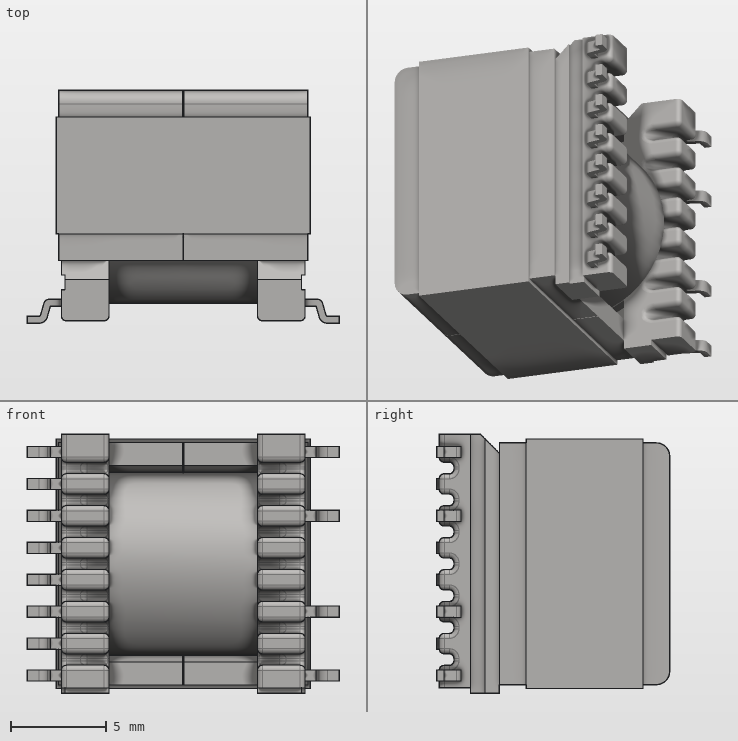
import cadquery as cq
import math


core_front = 3.30
core_back = 12.27
core_half_length = 6.56
core_half_width = 6.37
core_back_radius = 0.72
core_gap = 0.05
opening_half_width = 5.16
chamber_half_length = 4.60
opening_flare = math.radians(15)

tape_depth = 6.15
tape_half_length = 6.69
tape_half_width = 6.57
core_middle = (core_front + core_back) / 2

winding_radius = 4.80
winding_axis = 5.84
winding_half_length = 3.90
barrel_radius = 2.80
flange_rim = 0.03
flange_radius = winding_radius + flange_rim
chamber_radius = flange_radius

rail_inner = winding_half_length
rail_outer = 6.42
rail_front = 0.13
rail_half_width = 6.82
rail_chamfer = 1.00
groove_depth = 0.19
groove_front = 1.77
groove_back = 2.54
foot_step = 0.29

lead_pitch = 1.68
lead_positions = 8
slot_width = 0.60
slot_corner_radius = 0.235
slot_floor = 0.90
slot_ramp_start = 5.20
slot_ramp_angle = math.radians(45)
slot_bend_radius = 0.50
tooth_fillet = 0.27

lead_width = 0.60
lead_thickness = 0.38
lead_height = 0.89
lead_tip = 8.21
lead_shoulder = 7.28
lead_ankle = 7.53
lead_shoulder_radius = 0.30
lead_ankle_radius = 0.08
left_leads = range(lead_positions)
right_leads = (0, 2, 5, 7)

EPS = 0.01


def block(x_range, y_range, z_range):
    """Box between two limits along each axis."""
    size = [high - low for low, high in (x_range, y_range, z_range)]
    corner = (x_range[0], y_range[0], z_range[0])
    return cq.Workplane("XY").box(*size, centered=False).translate(corner)


def mirrored_in_x(body):
    return body.mirror("YZ")


def lead_z(position):
    """Height of a lead position, counted upwards from the bottom one."""
    return (position - (lead_positions - 1) / 2) * lead_pitch


def along_winding(radius, half_length):
    """Cylinder around the winding axis."""
    plane = cq.Workplane("YZ", origin=(-half_length, 0, 0))
    return plane.center(winding_axis, 0).circle(radius).extrude(2 * half_length)


def make_chamber():
    """Winding chamber of the +X core half: flared at the opening, closed by a half circle."""
    flare_end = core_front + (opening_half_width - chamber_radius) / math.tan(opening_flare)
    return (
        cq.Workplane("YZ")
        .moveTo(core_front, -opening_half_width)
        .lineTo(flare_end, -chamber_radius)
        .lineTo(winding_axis, -chamber_radius)
        .threePointArc((winding_axis + chamber_radius, 0), (winding_axis, chamber_radius))
        .lineTo(flare_end, chamber_radius)
        .lineTo(core_front, opening_half_width)
        .close()
        .extrude(chamber_half_length)
    )


def make_core_half():
    """Core half on the +X side."""
    z_range = (-core_half_width, core_half_width)
    half = block((core_gap / 2, core_half_length), (core_front, core_back), z_range)
    half = half.edges("|X and >Y").fillet(core_back_radius)
    return half.cut(make_chamber())


def make_tape():
    """Rectangular band that fits closely around both core halves."""
    plane = cq.Workplane("XZ", origin=(0, core_middle + tape_depth / 2, 0))
    return (
        plane.rect(2 * tape_half_length, 2 * tape_half_width)
        .rect(2 * core_half_length, 2 * core_half_width)
        .extrude(tape_depth)
    )


def make_winding():
    """Wire package around the barrel, between the two rails."""
    outside = along_winding(winding_radius, winding_half_length)
    return outside.cut(along_winding(barrel_radius, winding_half_length))


def make_slot(z):
    """Cutter for one wire slot: level from the outer face, then ramping deeper to the inner face."""
    overrun = 0.50
    ramp_end = rail_inner - overrun
    deepest = slot_floor + (slot_ramp_start - ramp_end) * math.tan(slot_ramp_angle)
    cutter = (
        cq.Workplane("XY", origin=(0, 0, z - slot_width / 2))
        .moveTo(ramp_end, rail_front - overrun)
        .lineTo(ramp_end, deepest)
        .lineTo(slot_ramp_start, slot_floor)
        .lineTo(rail_outer + overrun, slot_floor)
        .lineTo(rail_outer + overrun, rail_front - overrun)
        .close()
        .extrude(slot_width)
    )
    floor = cutter.faces(cq.selectors.NearestToPointSelector((rail_outer, slot_floor, z)))
    ramp_middle = ((ramp_end + slot_ramp_start) / 2, (deepest + slot_floor) / 2, z)
    ramp = cutter.faces(cq.selectors.NearestToPointSelector(ramp_middle))
    cutter = floor.add(ramp).edges("not |Z").fillet(slot_corner_radius)
    bend = cutter.edges().filter(is_slot_bend)
    return bend.fillet(slot_bend_radius)


def is_slot_bend(edge):
    """True for the edges where a slot's level floor and corners turn into its ramp."""
    box = edge.BoundingBox()
    reach = slot_corner_radius / 2
    near_bend = abs(box.xmin - slot_ramp_start) < reach and abs(box.xmax - slot_ramp_start) < reach
    return near_bend and box.ymin > slot_floor - slot_corner_radius - EPS


def make_rail():
    """Toothed rail on the +X side, with a groove along its outer face."""
    z_range = (-rail_half_width, rail_half_width)
    rail = block((rail_inner, rail_outer), (rail_front, core_front), z_range)
    for gap in range(lead_positions - 1):
        rail = rail.cut(make_slot((lead_z(gap) + lead_z(gap + 1)) / 2))

    mounting_edges = rail.faces("<Y").edges()
    inner_slot_edges = rail.faces("<X").edges().filter(is_slot_edge)
    outer_slot_edges = rail.faces(">X").edges().filter(is_slot_edge)
    mounting_edges = mounting_edges.filter(lambda edge: abs(edge.Center().z) < rail_half_width - EPS)
    rounded = mounting_edges.add(inner_slot_edges).add(outer_slot_edges)
    rail = rounded.fillet(tooth_fillet)

    rail = rail.faces(">Z").edges(">Y").chamfer(rail_chamfer)
    groove = block((rail_outer - groove_depth, rail_outer), (groove_front, groove_back), z_range)
    step = block((rail_inner, rail_outer), (0, groove_front), (-rail_half_width, foot_step - rail_half_width))
    return rail.cut(groove).cut(step)


def is_slot_edge(edge):
    """True for an edge of a rail's side face that outlines a slot."""
    box = edge.BoundingBox()
    inside_ends = box.zmin > EPS - rail_half_width and box.zmax < rail_half_width - EPS
    return inside_ends and box.ymax < core_front - EPS


def make_lead(z):
    """Gull-wing lead on the +X side, from the rail's outer face down to the mounting plane."""
    lead_top = lead_height + lead_thickness
    lean = math.atan2(lead_ankle - lead_shoulder, lead_height)
    width_across = lead_thickness / math.cos(lean)
    slope = math.tan(lean)
    knee = lead_shoulder + lead_thickness * slope - width_across
    heel = lead_ankle + lead_thickness * slope - width_across
    lead = (
        cq.Workplane("XY", origin=(0, 0, z - lead_width / 2))
        .moveTo(rail_outer, lead_top)
        .lineTo(lead_shoulder, lead_top)
        .lineTo(lead_ankle, lead_thickness)
        .lineTo(lead_tip, lead_thickness)
        .lineTo(lead_tip, 0)
        .lineTo(heel, 0)
        .lineTo(knee, lead_height)
        .lineTo(rail_outer, lead_height)
        .close()
        .extrude(lead_width)
    )
    for x, y, radius in (
        (lead_shoulder, lead_top, lead_shoulder_radius),
        (lead_ankle, lead_thickness, lead_ankle_radius),
        (heel, 0, lead_ankle_radius + lead_thickness),
    ):
        corner = cq.selectors.NearestToPointSelector((x, y, z))
        lead = lead.edges("|Z").edges(corner).fillet(radius)
    return lead


def make_flange():
    """Disc at the +X end of the winding, cut off flush with the core's front."""
    disc = along_winding(flange_radius, chamber_half_length)
    z_range = (-flange_radius, flange_radius)
    back = winding_axis + flange_radius
    return disc.intersect(block((winding_half_length, chamber_half_length), (core_front, back), z_range))


def make_bobbin_end(end, lead_positions_used):
    """One +X bobbin end with its own set of leads."""
    for position in lead_positions_used:
        end = end.union(make_lead(lead_z(position)), clean=False)
    return end


def make_bobbin():
    """Barrel, end flanges, rails and leads, moulded together as one body."""
    end = make_flange().union(make_rail())
    right_end = make_bobbin_end(end, right_leads)
    left_end = mirrored_in_x(make_bobbin_end(end, left_leads))
    barrel = along_winding(barrel_radius, winding_half_length)
    return barrel.union(right_end, clean=False).union(left_end, clean=False)


right_core = make_core_half()
left_core = mirrored_in_x(right_core)
tape = make_tape()
winding = make_winding()
bobbin = make_bobbin()

bodies = (right_core, left_core, tape, winding, bobbin)
result = cq.Compound.makeCompound([body.solids().val() for body in bodies])